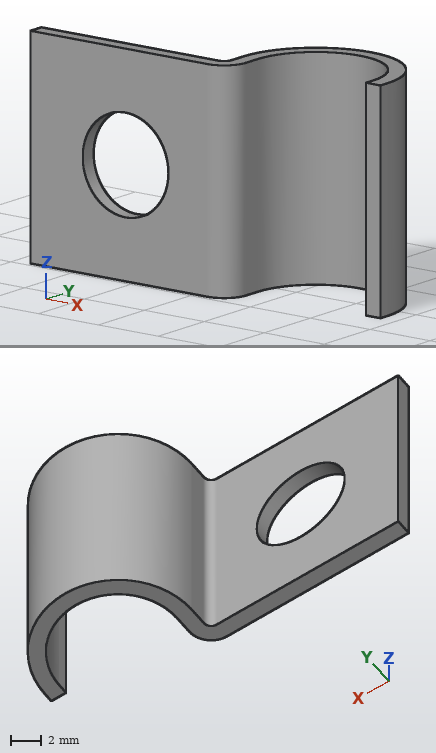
import cadquery as cq
import math

length = 27.4
height = 9.15
width = 15.89
thickness = 1.2
loop_outer_radius = 6.0
bend_inner_radius = 0.6
free_end_y = 2.38
hole_diameter = 7.15

loop_inner_radius = loop_outer_radius - thickness
loop_x = length - loop_outer_radius
loop_y = height - loop_outer_radius
leg_outer_x = loop_x - loop_outer_radius
leg_inner_x = loop_x - loop_inner_radius
bend_outer_radius = bend_inner_radius + thickness
bend_x = leg_inner_x - bend_outer_radius
bend_y = bend_outer_radius
hole_x = width / 2


def bend_midpoint(radius):
    """Middle of the quarter bend between flange and leg."""
    offset = radius * math.sqrt(0.5)
    return (bend_x + offset, bend_y - offset)


def make_strip():
    """Bent strip: flat flange, quarter bend, short leg and half-round loop."""
    return (
        cq.Workplane("XY")
        .moveTo(0, 0)
        .lineTo(bend_x, 0)
        .threePointArc(bend_midpoint(bend_outer_radius), (leg_inner_x, bend_y))
        .lineTo(leg_inner_x, loop_y)
        .threePointArc((loop_x, loop_y + loop_inner_radius), (loop_x + loop_inner_radius, loop_y))
        .lineTo(loop_x + loop_inner_radius, free_end_y)
        .lineTo(length, free_end_y)
        .lineTo(length, loop_y)
        .threePointArc((loop_x, height), (leg_outer_x, loop_y))
        .lineTo(leg_outer_x, bend_y)
        .threePointArc(bend_midpoint(bend_inner_radius), (bend_x, thickness))
        .lineTo(0, thickness)
        .close()
        .extrude(width)
    )


def make_hole():
    """Screw hole cutter passing through the flange along Y."""
    return (
        cq.Workplane("XZ")
        .center(hole_x, width / 2)
        .circle(hole_diameter / 2)
        .extrude(-thickness)
    )


result = make_strip().cut(make_hole())